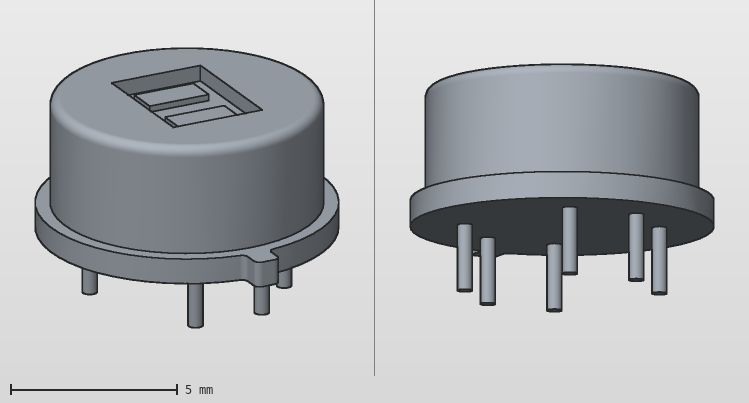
import cadquery as cq
import math

overall_length = 9.83
flange_diameter = 9.09
flange_thickness = 0.8
tab_reach = overall_length - flange_diameter / 2
tab_width = 0.8
tab_corner_radius = 0.2
tab_root_radius = 0.2

can_diameter = 8.2
can_height = 3.41
can_edge_radius = 0.3

window_length = 4.0
window_width = 3.0
window_depth = 0.5
element_length = 1.0
element_width = 2.0
element_height = 0.2
element_spacing = 2.0

pin_diameter = 0.45
pin_length = 2.0
pin_circle_radius = 2.92
pin_positions = 8
pin_pitch_angle = 360 / pin_positions
first_pin_angle = pin_pitch_angle / 2
empty_positions = (2, 6)

can_top = flange_thickness + can_height


def make_flange():
    """Round flange with a rounded tab pointing along +X."""
    flange_radius = flange_diameter / 2
    disc = cq.Workplane("XY").circle(flange_radius).extrude(flange_thickness)
    tab = (
        cq.Workplane("XY")
        .rect(tab_reach, tab_width)
        .extrude(flange_thickness)
        .translate((tab_reach / 2, 0, 0))
        .edges("|Z and >X")
        .fillet(tab_corner_radius)
    )
    root_x = math.sqrt(flange_radius**2 - (tab_width / 2) ** 2)
    margin = tab_corner_radius / 2
    root_edges = cq.selectors.BoxSelector(
        (root_x - margin, -tab_width, -margin),
        (root_x + margin, tab_width, flange_thickness + margin),
    )
    return disc.union(tab).edges("|Z").edges(root_edges).fillet(tab_root_radius)


def make_can():
    """Can with a rounded top rim, standing on the flange."""
    return (
        cq.Workplane("XY", origin=(0, 0, flange_thickness))
        .circle(can_diameter / 2)
        .extrude(can_height)
        .faces(">Z")
        .edges()
        .fillet(can_edge_radius)
    )


def make_window():
    """Rectangular pocket volume, sunk from the top of the can."""
    return (
        cq.Workplane("XY", origin=(0, 0, can_top))
        .rect(window_length, window_width)
        .extrude(-window_depth)
    )


def make_elements():
    """Two sensing elements side by side on the pocket floor."""
    return (
        cq.Workplane("XY", origin=(0, 0, can_top - window_depth))
        .rarray(element_spacing, 0.1, 2, 1)
        .rect(element_length, element_width)
        .extrude(element_height)
    )


def make_pins():
    """Pins hanging below the flange at the occupied circle positions."""
    centres = []
    for position in range(pin_positions):
        if position in empty_positions:
            continue
        angle = math.radians(first_pin_angle + position * pin_pitch_angle)
        centres.append((pin_circle_radius * math.cos(angle), pin_circle_radius * math.sin(angle)))
    return cq.Workplane("XY").pushPoints(centres).circle(pin_diameter / 2).extrude(-pin_length)


result = (
    make_flange()
    .union(make_can())
    .cut(make_window())
    .union(make_elements())
    .union(make_pins())
)